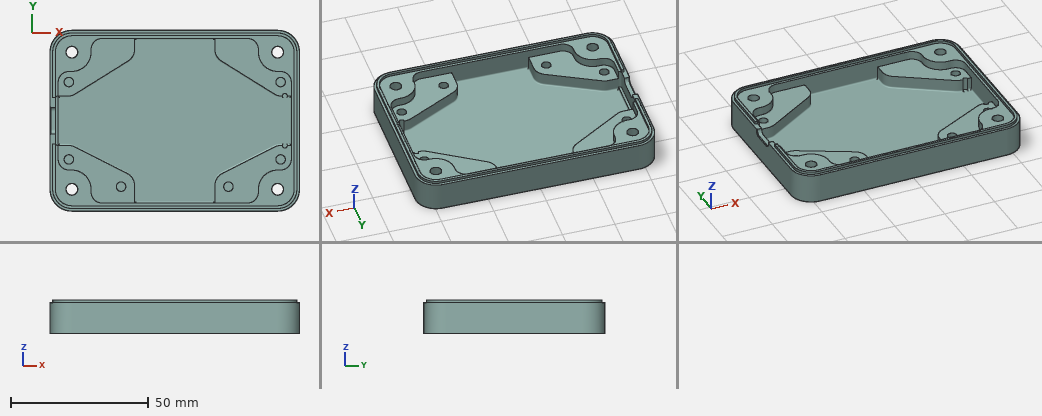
import cadquery as cq
import math

SIDES = (-1, 1)

length = 91.0
width = 66.0
height = 12.3
corner_radius = 8.0

lip_inset = 1.0
lip_thickness = 1.0
lip_height = 1.0
lip_gap_width = 16.9
body_height = height - lip_height
wall_thickness = lip_inset + lip_thickness

ledge_width = 1.0
pocket_inset = wall_thickness + ledge_width
floor_z = 3.0
pocket_length = length - 2 * pocket_inset
pocket_width = width - 2 * pocket_inset
floor_fillet = 0.55

screw_diameter = 4.2
screw_x = length / 2 - corner_radius
screw_y = width / 2 - corner_radius
boss_radius = 7.0
boss_blend_radius = 4.0

pad_z = 8.0
pad_inner_x = 14.65
pad_end_y = 9.0
pad_bend_x = 37.5
back_pad_bend_y = 23.2
front_pad_bend_y = 20.6
pad_corner_radius = 5.0

pin_diameter = 3.5
pin_depth = 3.6
side_pin_x = 38.6
side_pin_y = 14.1
front_pin_x = 19.6
front_pin_y = 24.0

relief_radius = 0.9
relief_x = 40.1

recess_z = 4.0
recess_corner_radius = 0.9

notch_width = 9.8
notch_z = 9.2
notch_corner_radius = 1.6
notch_chamfer = 0.32


def rounded_block(inset, bottom, top):
    """Block following the tray outline, moved inwards by inset."""
    return (
        cq.Workplane("XY", origin=(0, 0, bottom))
        .rect(length - 2 * inset, width - 2 * inset)
        .extrude(top - bottom)
        .edges("|Z")
        .fillet(corner_radius - inset)
    )


def box_between(x0, x1, y0, y1, z0, z1):
    """Box given by its limits along each axis."""
    return (
        cq.Workplane("XY", origin=((x0 + x1) / 2, (y0 + y1) / 2, z0))
        .rect(abs(x1 - x0), abs(y1 - y0))
        .extrude(z1 - z0)
    )


def lip():
    """Rim lip with the gap on the -X side."""
    ring = rounded_block(lip_inset, body_height, height).cut(
        rounded_block(wall_thickness, body_height, height)
    )
    half_gap = lip_gap_width / 2
    gap = box_between(
        -length / 2, -length / 2 + pocket_inset, -half_gap, half_gap, body_height, height
    )
    return ring.cut(gap)


def pad_prism(side_x, side_y, bend_y):
    """Pad in one corner, from its free edges out to the pocket walls."""
    points = [
        (pad_inner_x, pocket_width / 2),
        (pad_inner_x, bend_y),
        (pad_bend_x, pad_end_y),
        (pocket_length / 2, pad_end_y),
        (pocket_length / 2, pocket_width / 2),
    ]
    prism = (
        cq.Workplane("XY", origin=(0, 0, floor_z))
        .polyline([(side_x * x, side_y * y) for x, y in points])
        .close()
        .extrude(pad_z - floor_z)
    )
    for bend_x, edge_y in ((pad_inner_x, bend_y), (pad_bend_x, pad_end_y)):
        bend = cq.selectors.NearestToPointSelector(
            (side_x * bend_x, side_y * edge_y, (floor_z + pad_z) / 2)
        )
        prism = prism.edges("|Z").edges(bend).fillet(pad_corner_radius)
    return prism


def upper_pocket():
    """Pocket above the pads, running around the corner bosses."""
    half_length = pocket_length / 2
    half_width = pocket_width / 2
    inner_x = screw_x - boss_radius
    inner_y = screw_y - boss_radius
    pocket = box_between(-half_length, half_length, -half_width, half_width, pad_z, body_height)
    for side_x in SIDES:
        for side_y in SIDES:
            pocket = pocket.cut(
                box_between(
                    side_x * inner_x, side_x * half_length,
                    side_y * inner_y, side_y * half_width,
                    pad_z, body_height,
                )
            )
    mid_z = (pad_z + body_height) / 2
    for side_x in SIDES:
        for side_y in SIDES:
            for x, y, radius in (
                (inner_x, inner_y, boss_radius),
                (inner_x, half_width, boss_blend_radius),
                (half_length, inner_y, boss_blend_radius),
            ):
                corner = cq.selectors.NearestToPointSelector((side_x * x, side_y * y, mid_z))
                pocket = pocket.edges("|Z").edges(corner).fillet(radius)
    return pocket


def lower_pocket():
    """Pocket between the pads, with its floor edge rounded."""
    pocket = box_between(
        -pocket_length / 2, pocket_length / 2,
        -pocket_width / 2, pocket_width / 2,
        floor_z, pad_z,
    )
    for side_x in SIDES:
        for side_y, bend_y in ((1, back_pad_bend_y), (-1, front_pad_bend_y)):
            pocket = pocket.cut(pad_prism(side_x, side_y, bend_y))
    return pocket.faces("<Z").edges().fillet(floor_fillet)


def pad_reliefs():
    """Round reliefs in the pad ends on the +X side."""
    return (
        cq.Workplane("XY", origin=(0, 0, floor_z))
        .pushPoints([(relief_x, pad_end_y), (relief_x, -pad_end_y)])
        .circle(relief_radius)
        .extrude(pad_z - floor_z)
    )


def screw_holes():
    """Through holes in the corner bosses."""
    return (
        cq.Workplane("XY")
        .rect(2 * screw_x, 2 * screw_y, forConstruction=True)
        .vertices()
        .circle(screw_diameter / 2)
        .extrude(height)
    )


def pin_holes():
    """Blind holes in the pads."""
    centres = [(sx * side_pin_x, sy * side_pin_y) for sx in SIDES for sy in SIDES]
    centres += [(sx * front_pin_x, -front_pin_y) for sx in SIDES]
    return (
        cq.Workplane("XY", origin=(0, 0, pad_z - pin_depth))
        .pushPoints(centres)
        .circle(pin_diameter / 2)
        .extrude(pin_depth)
    )


def wall_recess():
    """Recess that thins the -X wall between the pads, down to a low step."""
    wall_x = -length / 2 + wall_thickness
    recess = box_between(
        wall_x, wall_x + ledge_width, -pad_end_y, pad_end_y, recess_z, body_height
    )
    return recess.edges("|Z and <X").fillet(recess_corner_radius)


def notch_section(x, margin):
    """Notch outline at one X position, widened by margin on its sides and bottom."""
    half_width = notch_width / 2 + margin
    radius = notch_corner_radius + margin
    bottom = notch_z - margin
    diagonal = radius * (1 - math.sqrt(0.5))
    return (
        cq.Workplane("YZ", origin=(x, 0, 0))
        .moveTo(-half_width, height)
        .lineTo(-half_width, bottom + radius)
        .threePointArc(
            (-half_width + diagonal, bottom + diagonal), (-half_width + radius, bottom)
        )
        .lineTo(half_width - radius, bottom)
        .threePointArc(
            (half_width - diagonal, bottom + diagonal), (half_width, bottom + radius)
        )
        .lineTo(half_width, height)
        .close()
    )


def cable_notch():
    """Opening in the -X wall with rounded lower corners, flared at the outer face."""
    outer_x = -length / 2
    passage = notch_section(outer_x, 0).extrude(wall_thickness)
    flare = notch_section(outer_x, notch_chamfer).extrude(notch_chamfer, taper=45)
    return passage.union(flare)


result = rounded_block(0, 0, body_height).union(lip())
result = result.cut(upper_pocket()).cut(lower_pocket()).cut(pad_reliefs())
result = result.cut(screw_holes()).cut(pin_holes())
result = result.cut(wall_recess()).cut(cable_notch())